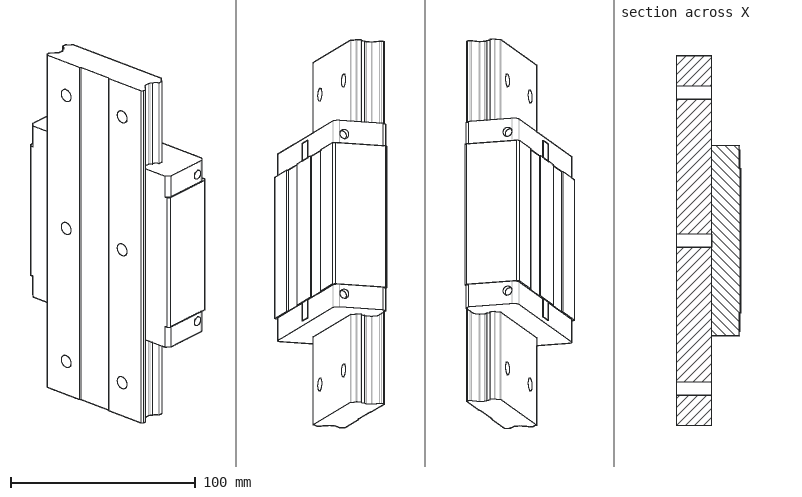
import cadquery as cq
import math

assembly_height = 35.0

rail_length = 200.0
rail_half_width = 34.5
rail_height = 19.0
foot_chamfer = 1.0
foot_side_top = 2.8
foot_edge_round = 1.2
waist_half_width = 30.8
waist_bottom = foot_side_top + (rail_half_width - waist_half_width)
waist_round = 0.6
waist_top = 9.5
head_bottom = 13.6
race_radius = 2.5
head_edge_round = 0.4
step_round = 1.2

relief_half_width = 10.0
relief_depth = 0.5
relief_slope = 0.5

hole_diameter = 7.0
hole_half_spacing_x = 20.0
hole_pitch_z = 80.0

block_half_length = 39.0
block_half_width = 50.0
carriage_bottom = 4.0
block_chamfer = 1.2
channel_depth = 0.6
channel_outer = 27.2
channel_slope = 1.4
land_half_width = 11.4

cap_length = 12.5
cap_half_width = 49.4
cap_top = 34.0
cap_round = 2.9
cap_chamfer = 2.3

cap_pad_half_width = 4.7
cap_pad_top = assembly_height - channel_depth
cap_pad_length = 10.0

port_diameter = 5.0
port_depth = 4.0
port_y = 28.4
port_z = 44.1


def rail_half_outline():
    """Right half of the rail section, closed along X = 0, with both ball races."""
    arc_reach = race_radius * math.sqrt(0.5)
    race_x = rail_half_width - race_radius
    lower_race_y = head_bottom - race_radius
    step_x = waist_half_width + step_round * (1 - math.sqrt(0.5))
    step_y = waist_top + step_round * math.sqrt(0.5)
    return (
        cq.Workplane("XY")
        .moveTo(0, 0)
        .lineTo(rail_half_width - foot_chamfer, 0)
        .lineTo(rail_half_width, foot_chamfer)
        .lineTo(rail_half_width, foot_side_top)
        .lineTo(waist_half_width, waist_bottom)
        .lineTo(waist_half_width, waist_top)
        .radiusArc((step_x, step_y), step_round)
        .lineTo(race_x, lower_race_y)
        .threePointArc(
            (rail_half_width - arc_reach, lower_race_y + arc_reach),
            (rail_half_width, head_bottom),
        )
        .lineTo(rail_half_width, rail_height - race_radius)
        .threePointArc(
            (rail_half_width - arc_reach, rail_height - arc_reach),
            (race_x, rail_height),
        )
        .lineTo(0, rail_height)
        .close()
    )


def round_lengthwise_edge(body, x, y, radius):
    """Round the edge that runs along Z through the section point (x, y)."""
    return body.edges(cq.selectors.NearestToPointSelector((x, y, 0))).fillet(radius)


def make_rail_blank():
    half = rail_half_outline().extrude(rail_length / 2, both=True)
    half = round_lengthwise_edge(half, rail_half_width, foot_side_top, foot_edge_round)
    half = round_lengthwise_edge(half, waist_half_width, waist_bottom, waist_round)
    half = round_lengthwise_edge(half, rail_half_width, head_bottom, head_edge_round)
    half = round_lengthwise_edge(half, rail_half_width, rail_height - race_radius, head_edge_round)
    half = round_lengthwise_edge(half, rail_half_width - race_radius, rail_height, head_edge_round)
    return half.union(half.mirror("YZ"))


def make_relief():
    mouth_half_width = relief_half_width + relief_slope
    return (
        cq.Workplane("XY")
        .polyline([
            (-mouth_half_width, 0),
            (mouth_half_width, 0),
            (relief_half_width, relief_depth),
            (-relief_half_width, relief_depth),
        ])
        .close()
        .extrude(rail_length / 2, both=True)
    )


def make_mounting_holes():
    centers = [
        (side * hole_half_spacing_x, row * hole_pitch_z)
        for side in (-1, 1)
        for row in (-1, 0, 1)
    ]
    return (
        cq.Workplane("XZ")
        .pushPoints(centers)
        .circle(hole_diameter / 2)
        .extrude(-rail_height)
    )


def make_block():
    height = assembly_height - carriage_bottom
    block = (
        cq.Workplane("XY")
        .box(2 * block_half_width, height, 2 * block_half_length)
        .translate((0, carriage_bottom + height / 2, 0))
        .edges("|Z")
        .chamfer(block_chamfer)
    )
    floor_y = assembly_height - channel_depth
    channel = (
        cq.Workplane("XY")
        .polyline([
            (land_half_width, floor_y),
            (channel_outer, floor_y),
            (channel_outer + channel_slope, assembly_height),
            (land_half_width, assembly_height),
        ])
        .close()
        .extrude(block_half_length, both=True)
    )
    return block.cut(channel).cut(channel.mirror("YZ"))


def make_end_cap():
    """End cap with its raised pad and side ports, for the +Z end of the carriage."""
    cap_height = cap_top - carriage_bottom
    cap = (
        cq.Workplane("XY")
        .box(2 * cap_half_width, cap_height, cap_length, centered=(True, False, False))
        .translate((0, carriage_bottom, block_half_length))
        .edges("|Z and >Y")
        .fillet(cap_round)
        .edges("|Z and <Y")
        .chamfer(cap_chamfer)
    )
    pad_height = cap_pad_top - carriage_bottom
    pad = (
        cq.Workplane("XY")
        .box(2 * cap_pad_half_width, pad_height, cap_pad_length, centered=(True, False, False))
        .translate((0, carriage_bottom, block_half_length))
    )
    cap = cap.union(pad)
    for side in (-1, 1):
        port = (
            cq.Workplane("YZ", origin=(side * cap_half_width, 0, 0))
            .center(port_y, port_z)
            .circle(port_diameter / 2)
            .extrude(-side * port_depth)
        )
        cap = cap.cut(port)
    return cap


def make_carriage(rail_shape):
    cap = make_end_cap()
    body = make_block().union(cap).union(cap.mirror("XY"))
    return body.cut(rail_shape)


rail_blank = make_rail_blank()
rail = rail_blank.cut(make_relief()).cut(make_mounting_holes())
carriage = make_carriage(rail_blank)

result = cq.Compound.makeCompound([rail.val(), carriage.val()])